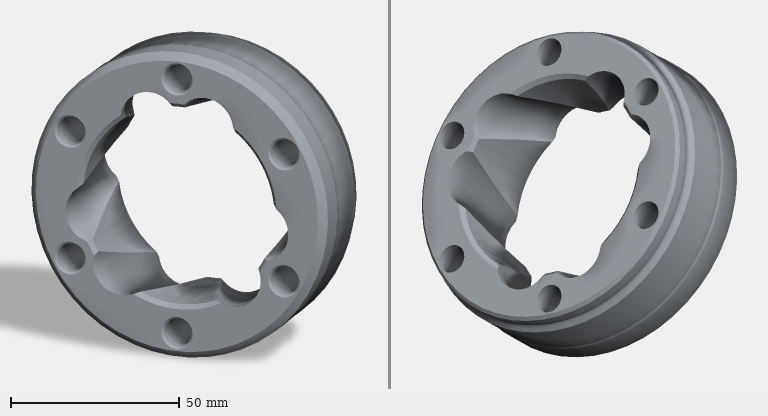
import cadquery as cq
import math


WIDTH = 32.24
OUTER_DIAMETER = 94.31
FLANGE_RADIUS = OUTER_DIAMETER / 2
FRONT_CHAMFER = 2.3
FLANGE_WIDTH = 10.2
FLANGE_TAPER_WIDTH = 0.85
FLANGE_STEP = 0.27
BODY_RADIUS = FLANGE_RADIUS - FLANGE_STEP
LIP_WIDTH = 5.0
LIP_STEP = 1.72
LIP_RADIUS = BODY_RADIUS - LIP_STEP
LIP_CHAMFER = 1.0

FRONT_Y = -WIDTH / 2
BACK_Y = WIDTH / 2

BORE_RADIUS = 30.5
BORE_CHAMFER = 1.3

GROOVE_COUNT = 6
GROOVE_RADIUS = 8.5
GROOVE_PITCH_RADIUS = 26.9
GROOVE_TILT = 17.15
GROOVE_CROSSING_Y = 0.35
GROOVE_CUTTER_LENGTH = 2 * WIDTH

BOLT_COUNT = 6
BOLT_CIRCLE_RADIUS = 39.25
BOLT_DIAMETER = 8.6
BOLT_CHAMFER = 0.7
FIRST_BOLT_ANGLE = 90


def make_body():
    """Revolve the stepped ring section, given as (Y, radius) points, about the Y axis."""
    flange_back_y = FRONT_Y + FLANGE_WIDTH
    lip_front_y = BACK_Y - LIP_WIDTH
    section = [
        (FRONT_Y, BORE_RADIUS + BORE_CHAMFER),
        (FRONT_Y, FLANGE_RADIUS - FRONT_CHAMFER),
        (FRONT_Y + FRONT_CHAMFER, FLANGE_RADIUS),
        (flange_back_y, FLANGE_RADIUS),
        (flange_back_y + FLANGE_TAPER_WIDTH, BODY_RADIUS),
        (lip_front_y - LIP_STEP, BODY_RADIUS),
        (lip_front_y, LIP_RADIUS),
        (BACK_Y - LIP_CHAMFER, LIP_RADIUS),
        (BACK_Y, LIP_RADIUS - LIP_CHAMFER),
        (BACK_Y, BORE_RADIUS + BORE_CHAMFER),
        (BACK_Y - BORE_CHAMFER, BORE_RADIUS),
        (FRONT_Y + BORE_CHAMFER, BORE_RADIUS),
    ]
    return cq.Workplane("YZ").polyline(section).close().revolve(360, (0, 0, 0), (1, 0, 0))


def make_groove_cutter(index):
    """Cylinder leaning sideways, so that neighbouring grooves converge and diverge in turn."""
    angle = math.radians(index * 360 / GROOVE_COUNT)
    lean = math.radians(GROOVE_TILT) * (-1 if index % 2 == 0 else 1)
    axis = cq.Vector(
        math.sin(angle) * math.sin(lean),
        math.cos(lean),
        -math.cos(angle) * math.sin(lean),
    )
    middle = cq.Vector(
        GROOVE_PITCH_RADIUS * math.cos(angle),
        GROOVE_CROSSING_Y,
        GROOVE_PITCH_RADIUS * math.sin(angle),
    )
    start = middle - axis * (GROOVE_CUTTER_LENGTH / 2)
    return cq.Solid.makeCylinder(GROOVE_RADIUS, GROOVE_CUTTER_LENGTH, start, axis)


def make_bolt_cutter(index):
    """Through hole with a chamfered mouth on the front face."""
    angle = math.radians(FIRST_BOLT_ANGLE + index * 360 / BOLT_COUNT)
    mouth = cq.Vector(
        BOLT_CIRCLE_RADIUS * math.cos(angle),
        FRONT_Y,
        BOLT_CIRCLE_RADIUS * math.sin(angle),
    )
    inward = cq.Vector(0, 1, 0)
    radius = BOLT_DIAMETER / 2
    hole = cq.Solid.makeCylinder(radius, WIDTH, mouth, inward)
    chamfer = cq.Solid.makeCone(radius + BOLT_CHAMFER, radius, BOLT_CHAMFER, mouth, inward)
    return hole.fuse(chamfer)


result = make_body()
for groove_index in range(GROOVE_COUNT):
    result = result.cut(cq.Workplane(obj=make_groove_cutter(groove_index)))
for bolt_index in range(BOLT_COUNT):
    result = result.cut(cq.Workplane(obj=make_bolt_cutter(bolt_index)))